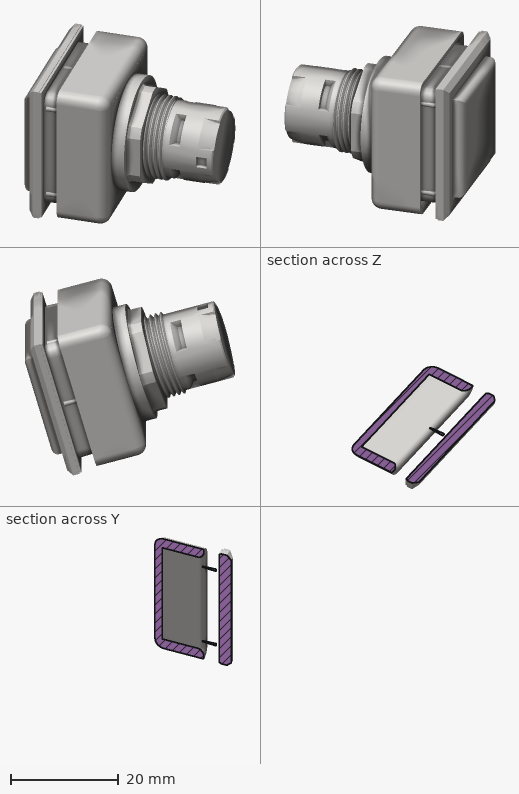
import cadquery as cq
import math


button_face_x = 0.0
bezel_front_x = 2.05
bezel_rim_end_x = 4.15
bezel_rear_x = 4.57
rib_start_x = 5.05
housing_front_x = 7.55
housing_rear_x = 17.5
flange_rear_x = 19.9
thread_start_x = 22.43
thread_end_x = 26.28
barrel_end_x = 36.0

frame_size = 26.9
button_size = 19.95
button_edge_radius = 1.2
bezel_chamfer = 0.95
bezel_rear_inset = 0.15
opening_chamfer = 0.35

neck_size = 23.2
neck_corner_radius = 2.0
rib_radius = 0.522
rib_taper = 2.0
rib_axis_offset = 11.45
side_rib_z = 9.07

housing_radius = 2.0
wall = 1.6
cavity_corner_radius = 1.0
rim_inner_radius = 1.0
cavity_depth = housing_rear_x - housing_front_x - wall

flange_diameter = 22.0
nut_across_flats = 17.9
nut_corner_diameter = 19.5
nut_flare = 0.3
nut_flare_length = 0.45

barrel_diameter = 14.65
barrel_radius = barrel_diameter / 2
barrel_end_chamfer = 0.25
thread_pitch = 1.0
thread_radius = 7.92
thread_crest_width = 0.1
thread_root_width = 0.85
thread_root_radius = 7.27
thread_crossing_x = 23.25

notch_start_x = 33.0
notch_edge = 2.63
notch_end_radius = 6.7
slot_front_x = 27.45
slot_floor_x = 28.5
slot_rear_x = 29.5
slot_edge = 2.52
slot_floor_radius = 6.15
window_start_x = 32.8
window_length = 2.05
window_width = 2.15
window_floor_y = -6.25


def square_block(x_start, x_end, size):
    return cq.Workplane("YZ").workplane(offset=x_start).rect(size, size).extrude(x_end - x_start)


def disc(x_start, x_end, diameter):
    return cq.Workplane("YZ").workplane(offset=x_start).circle(diameter / 2).extrude(x_end - x_start)


def revolved(points):
    """Turn a closed (x, radius) outline about the X axis."""
    return cq.Workplane("XY").polyline(points).close().revolve(360, (0, 0, 0), (1, 0, 0))


def make_button():
    button = square_block(button_face_x, bezel_rim_end_x, button_size)
    return button.faces("<X").edges().fillet(button_edge_radius)


def make_bezel():
    rim = square_block(bezel_front_x, bezel_rim_end_x, frame_size)
    rim = rim.faces("<X").edges().chamfer(bezel_chamfer)
    opening_size = button_size + 2 * opening_chamfer
    opening = (
        cq.Workplane("YZ").workplane(offset=bezel_front_x).rect(opening_size, opening_size)
        .extrude(opening_chamfer, taper=45 - 1e-3)
    )
    rear_plate = square_block(bezel_rim_end_x, bezel_rear_x, frame_size - 2 * bezel_rear_inset)
    return rim.cut(opening).union(rear_plate)


def make_neck():
    neck = square_block(bezel_rear_x, housing_rear_x, neck_size)
    neck = neck.edges("|X").fillet(neck_corner_radius)
    rib_axes = [(0, side * rib_axis_offset) for side in (-1, 1)]
    rib_axes += [(side * rib_axis_offset, z) for side in (-1, 1) for z in (-side_rib_z, side_rib_z)]
    ribs = (
        cq.Workplane("YZ").workplane(offset=rib_start_x).pushPoints(rib_axes).circle(rib_radius)
        .extrude(housing_front_x + cavity_depth - rib_start_x, taper=rib_taper)
    )
    return neck.union(ribs)


def make_housing():
    housing = square_block(housing_front_x, housing_rear_x, frame_size)
    housing = housing.edges("|X").fillet(housing_radius)
    housing = housing.faces(">X").edges().fillet(housing_radius - 0.05)
    cavity = square_block(housing_front_x, housing_front_x + cavity_depth, frame_size - 2 * wall)
    cavity = cavity.edges("|X").fillet(cavity_corner_radius)
    housing = housing.cut(cavity)
    return housing.faces("<X").wires(cq.selectors.AreaNthSelector(0)).fillet(rim_inner_radius)


def make_nut():
    """Hexagon with flats facing +/-Y, its corners turned down to a circle, flared at the flange."""
    plane = cq.Workplane("YZ").workplane(offset=flange_rear_x)
    across_corners = 2 * nut_across_flats / math.sqrt(3)
    corner_radius = nut_corner_diameter / 2
    outline = plane.transformed(rotate=(0, 0, 30)).polygon(6, across_corners)
    nut = outline.extrude(thread_start_x - flange_rear_x)
    nut = nut.intersect(disc(flange_rear_x, thread_start_x, nut_corner_diameter))

    flare_angle = math.degrees(math.atan2(nut_flare, nut_flare_length))
    flare_across_corners = across_corners + 4 * nut_flare / math.sqrt(3)
    flare = plane.transformed(rotate=(0, 0, 30)).polygon(6, flare_across_corners)
    flare = flare.extrude(nut_flare_length, taper=flare_angle)
    flare_cone = plane.circle(corner_radius + nut_flare).extrude(nut_flare_length, taper=flare_angle)
    return nut.union(flare.intersect(flare_cone))


def make_thread():
    """Right-handed helical ridge, built along Z and then turned onto X."""
    start = thread_crossing_x - 2 * thread_pitch
    height = thread_end_x + thread_pitch - start
    path = cq.Wire.makeHelix(thread_pitch, height, barrel_radius, cq.Vector(0, 0, start))
    ridge = (
        cq.Workplane("XZ")
        .polyline([
            (thread_root_radius, start - thread_root_width / 2),
            (thread_radius, start - thread_crest_width / 2),
            (thread_radius, start + thread_crest_width / 2),
            (thread_root_radius, start + thread_root_width / 2),
        ])
        .close()
        .sweep(cq.Workplane(obj=path), isFrenet=True)
        .rotate((0, 0, 0), (1, 1, 1), 120)
    )
    return ridge.intersect(disc(thread_start_x, thread_end_x, 3 * thread_radius))


def on_diagonals(ring, edge):
    """Keep the four pieces of a ring lying beyond `edge` in both Y and Z."""
    reach = barrel_diameter
    centre = edge + reach / 2
    corners = [(y, z) for y in (-centre, centre) for z in (-centre, centre)]
    quadrants = cq.Workplane("YZ").pushPoints(corners).rect(reach, reach).extrude(2 * barrel_end_x)
    return ring.intersect(quadrants)


def make_barrel():
    barrel = disc(flange_rear_x, barrel_end_x, barrel_diameter)
    barrel = barrel.faces(">X").edges().chamfer(barrel_end_chamfer)

    notch_ring = revolved([
        (notch_start_x, barrel_radius),
        (barrel_end_x, notch_end_radius),
        (barrel_end_x, thread_radius),
        (notch_start_x, thread_radius),
    ])
    slot_ring = revolved([
        (slot_front_x, barrel_radius),
        (slot_floor_x, slot_floor_radius),
        (slot_rear_x, slot_floor_radius),
        (slot_rear_x, thread_radius),
        (slot_front_x, thread_radius),
    ])
    window_depth = window_floor_y + thread_radius
    window = cq.Workplane("XY").box(window_length, window_depth, window_width, centered=(False, False, True))
    window = window.translate((window_start_x, -thread_radius, 0))

    barrel = barrel.cut(on_diagonals(notch_ring, notch_edge))
    barrel = barrel.cut(on_diagonals(slot_ring, slot_edge))
    return barrel.cut(window)


result = (
    make_button()
    .union(make_bezel())
    .union(make_neck())
    .union(make_housing())
    .union(disc(housing_rear_x, flange_rear_x, flange_diameter))
    .union(make_nut())
    .union(make_barrel())
    .union(make_thread())
)